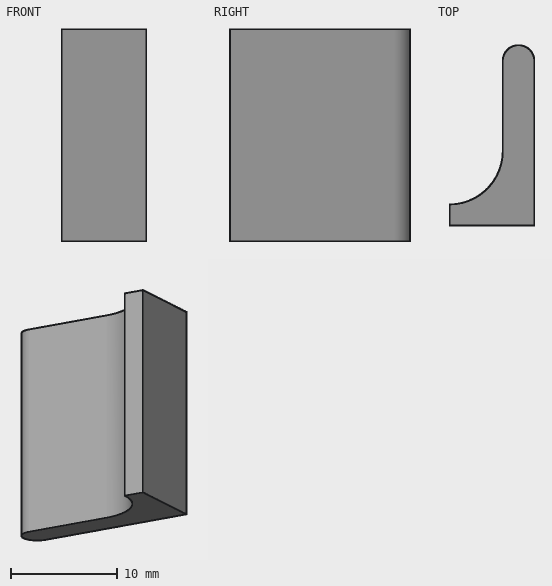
import cadquery as cq
import math

total_width = 8.0
total_depth = 17.0
height = 20.0
wall_thickness = 3.0
foot_thickness = 2.0

tip_radius = wall_thickness / 2
cove_radius = total_width - wall_thickness
wall_face_x = total_width - wall_thickness
tip_center_x = total_width - tip_radius
tip_start_y = total_depth - tip_radius
cove_center_y = foot_thickness + cove_radius
cove_mid_offset = cove_radius * math.sqrt(0.5)


def bracket_profile():
    """L-shaped section with a full-round wall tip and a concave inner corner."""
    return (
        cq.Workplane("XY")
        .moveTo(0, 0)
        .lineTo(total_width, 0)
        .lineTo(total_width, tip_start_y)
        .threePointArc((tip_center_x, total_depth), (wall_face_x, tip_start_y))
        .lineTo(wall_face_x, cove_center_y)
        .threePointArc(
            (cove_mid_offset, cove_center_y - cove_mid_offset),
            (0, foot_thickness),
        )
        .close()
    )


result = bracket_profile().extrude(height)